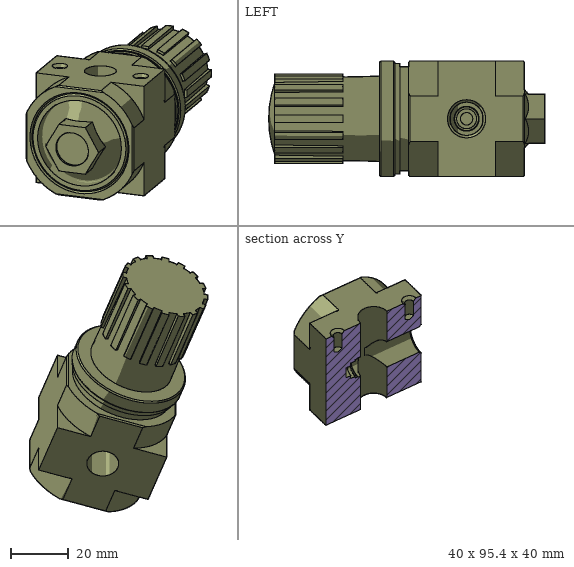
import cadquery as cq
import math


total_length = 95.4
housing_side = 40.0
half_side = housing_side / 2
edge_chamfer = 0.5
plug_chamfer = 0.6

end_barrel_diameter = 42.9
middle_block_length = 19.8
recess_depth = 7.6
cross_hole_diameter = 11.0
side_port_diameter = 11.45
side_port_mouth_diameter = 13.2
bore_steps = [(8.6, 6.7), (8.2, 7.6), (6.9, 9.5), (4.3, 11.45)]
screw_hole_spacing = 30.0
screw_hole_diameter = 3.2
screw_hole_mouth_diameter = 5.3
screw_hole_depth = 7.6
drill_tip_angle = 118.0

plug_projection = 7.1
plug_face_diameter = 34.3
plug_diameter = plug_face_diameter + 2 * plug_chamfer
plug_bore_diameter = 31.0
bore_floor_radius = 0.6
cone_slope = 41.0
cone_reference_radius = 8.5
cone_reference_projection = 1.4
hex_across_flats = 17.0
hex_recess_diameter = 12.0
hex_recess_depth = 1.0

neck_diameter = 36.0
neck_length = 3.1
step_diameter = 38.3
step_length = 1.7
collar_diameter = housing_side
collar_length = 5.3
grip_base_diameter = 29.6
grip_top_diameter = 28.4
rib_diameter = 31.0
rib_width = 2.7
rib_length = 23.6
rib_count = 16
dome_diameter = 24.9
dome_height = 2.1

plug_end = -half_side - plug_projection
recess_floor = -half_side + recess_depth
collar_start = half_side + neck_length + step_length
collar_end = collar_start + collar_length
dome_top = plug_end + total_length
grip_end = dome_top - dome_height


def rod_along_y(diameter, start, end):
    """Cylinder on the Y axis from start to end."""
    return cq.Workplane("XZ", origin=(0, start, 0)).circle(diameter / 2).extrude(start - end)


def revolved(profile):
    """Turn a closed profile, drawn as X radius against Y, about the Y axis."""
    return profile.close().revolve(360, (0, 0, 0), (0, 1, 0))


def housing_block():
    """Square block whose two ends are rounded to a barrel, with the middle left square."""
    ends = cq.Workplane("XY").box(housing_side, housing_side, housing_side).faces("<Y or >Y")
    ends = ends.edges().chamfer(edge_chamfer)
    ends = ends.intersect(rod_along_y(end_barrel_diameter, -half_side, half_side))
    middle = cq.Workplane("XY").box(housing_side, middle_block_length, housing_side)
    return ends.union(middle)


def plug_recess():
    """Recess for the end plug, with a chamfered mouth."""
    radius = plug_diameter / 2
    return revolved(
        cq.Workplane("XY")
        .moveTo(0, recess_floor)
        .lineTo(radius, recess_floor)
        .lineTo(radius, -half_side + plug_chamfer)
        .lineTo(radius + plug_chamfer, -half_side)
        .lineTo(0, -half_side)
    )


def side_port():
    """Port from the -X face to the cross hole, with a countersunk mouth."""
    mouth_depth = (side_port_mouth_diameter - side_port_diameter) / 2
    face = cq.Workplane("YZ", origin=(-half_side, 0, 0))
    bore = face.circle(side_port_diameter / 2).extrude(half_side)
    mouth = face.circle(side_port_mouth_diameter / 2).extrude(mouth_depth, taper=45)
    return bore.union(mouth)


def stepped_bore():
    """Blind bore beyond the cross hole, in line with the side port."""
    bore = cq.Workplane("YZ")
    for diameter, floor in bore_steps:
        bore = bore.union(cq.Workplane("YZ").circle(diameter / 2).extrude(floor))
    return bore


def screw_hole(x):
    """Countersunk blind hole with a drill point, in the +Z face."""
    radius = screw_hole_diameter / 2
    mouth_radius = screw_hole_mouth_diameter / 2
    floor = half_side - screw_hole_depth
    tip_height = radius / math.tan(math.radians(drill_tip_angle / 2))
    profile = (
        cq.Workplane("XZ")
        .moveTo(0, half_side)
        .lineTo(mouth_radius, half_side)
        .lineTo(radius, half_side - (mouth_radius - radius))
        .lineTo(radius, floor)
        .lineTo(0, floor - tip_height)
        .close()
    )
    return profile.revolve(360, (0, 0, 0), (0, 1, 0)).translate((x, 0, 0))


def make_housing():
    cross_hole = cq.Workplane("XY").circle(cross_hole_diameter / 2).extrude(half_side, both=True)
    body = housing_block().cut(plug_recess()).cut(cross_hole)
    body = body.cut(side_port()).cut(stepped_bore())
    for side in (-1, 1):
        body = body.cut(screw_hole(side * screw_hole_spacing / 2))
    return body


def plug_disc():
    """Chamfered disc with a bore whose floor rises as a cone around the hexagon."""
    slope = math.radians(cone_slope)
    bore_radius = plug_bore_diameter / 2
    cone_reference_y = -half_side - cone_reference_projection

    def cone_y(radius):
        return cone_reference_y + (radius - cone_reference_radius) * math.tan(slope)

    centre_radius = bore_radius - bore_floor_radius
    centre_y = cone_y(centre_radius) - bore_floor_radius / math.cos(slope)
    cone_foot_radius = centre_radius - bore_floor_radius * math.sin(slope)
    half_turn = (math.pi / 2 + slope) / 2
    arc_middle = (
        centre_radius + bore_floor_radius * math.cos(half_turn),
        centre_y + bore_floor_radius * math.sin(half_turn),
    )
    return revolved(
        cq.Workplane("XY")
        .moveTo(0, recess_floor)
        .lineTo(plug_diameter / 2, recess_floor)
        .lineTo(plug_diameter / 2, -half_side + plug_chamfer)
        .lineTo(plug_face_diameter / 2, -half_side)
        .lineTo(bore_radius, -half_side)
        .lineTo(bore_radius, centre_y)
        .threePointArc(arc_middle, (cone_foot_radius, cone_y(cone_foot_radius)))
        .lineTo(cone_reference_radius, cone_reference_y)
        .lineTo(0, cone_reference_y)
    )


def make_plug():
    hex_across_corners = hex_across_flats / math.cos(math.pi / 6)
    hexagon = (
        cq.Workplane("XZ", origin=(0, recess_floor, 0))
        .polygon(6, hex_across_corners)
        .extrude(recess_floor - plug_end)
    )
    hex_recess = rod_along_y(hex_recess_diameter, plug_end, plug_end + hex_recess_depth)
    return plug_disc().union(hexagon).cut(hex_recess)


def adjuster_core():
    """Neck, stepped collar, tapered grip and domed end as one turned shape."""
    neck_end = half_side + neck_length
    dome_radius = dome_diameter / 2
    sphere_radius = (dome_radius**2 + dome_height**2) / (2 * dome_height)
    half_angle = math.asin(dome_radius / sphere_radius) / 2
    dome_middle = (
        sphere_radius * math.sin(half_angle),
        dome_top - sphere_radius * (1 - math.cos(half_angle)),
    )
    collar_radius = collar_diameter / 2
    return revolved(
        cq.Workplane("XY")
        .moveTo(0, half_side)
        .lineTo(neck_diameter / 2, half_side)
        .lineTo(neck_diameter / 2, neck_end)
        .lineTo(step_diameter / 2, neck_end)
        .lineTo(step_diameter / 2, collar_start)
        .lineTo(collar_radius - edge_chamfer, collar_start)
        .lineTo(collar_radius, collar_start + edge_chamfer)
        .lineTo(collar_radius, collar_end - edge_chamfer)
        .lineTo(collar_radius - edge_chamfer, collar_end)
        .lineTo(grip_base_diameter / 2, collar_end)
        .lineTo(grip_top_diameter / 2, grip_end)
        .lineTo(dome_radius, grip_end)
        .threePointArc(dome_middle, (0, dome_top))
    )


def grip_ribs():
    """Parallel-sided ribs around the grip, rounded to the rib diameter."""
    root_radius = dome_diameter / 2
    blank_height = rib_diameter - root_radius
    rib = (
        cq.Workplane("XY")
        .box(rib_width, rib_length, blank_height, centered=(True, False, False))
        .translate((0, grip_end - rib_length, root_radius))
    )
    ribs = cq.Workplane("XY")
    for index in range(rib_count):
        angle = index * 360 / rib_count
        ribs = ribs.union(rib.rotate((0, 0, 0), (0, 1, 0), angle))
    return ribs.intersect(rod_along_y(rib_diameter, grip_end - rib_length, grip_end))


def make_adjuster():
    return adjuster_core().union(grip_ribs())


housing = make_housing()
plug = make_plug()
adjuster = make_adjuster()

result = cq.Compound.makeCompound([housing.val(), plug.val(), adjuster.val()])